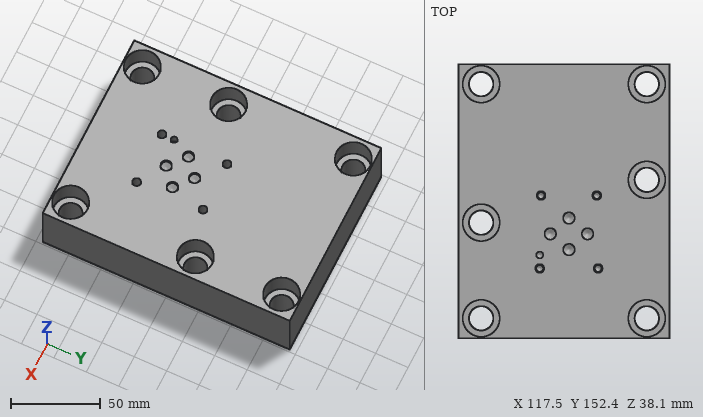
import cadquery as cq
import math

WIDTH = 117.5
LENGTH = 152.4
HEIGHT = 38.1

MOUNT_X = 46.0
MOUNT_END_Y = 65.0
MOUNT_MIDDLE_Y = 11.9
MOUNT_DIAMETER = 13.4
COUNTERBORE_DIAMETER = 20.5
COUNTERBORE_DEPTH = 15.2

PATTERN_X = 2.7
PATTERN_Y = -18.1
PORT_DIAMETER = 6.4
PORT_DEPTH = 1.8
PORT_SPAN_X = 20.7
PORT_SPAN_Y = 17.5
SCREW_FRONT_SPAN = 32.5
SCREW_BACK_SPAN = 31.0
SCREW_FRONT_Y = -37.3
SCREW_ROW_SPACING = 40.5
THREAD_DIAMETER = 4.9
TAP_DIAMETER = 3.8
THREAD_DEPTH = 12.2
TAP_DEPTH = 15.2
PIN_DIAMETER = 3.8
PIN_DEPTH = 6.1
PIN_OFFSET_Y = 7.5
DRILL_POINT_ANGLE = 118.0


def drill(diameter, depth):
    """Cutter reaching down from Z = 0 to a full-diameter depth, plus its conical point."""
    radius = diameter / 2
    point_length = radius / math.tan(math.radians(DRILL_POINT_ANGLE / 2))
    profile = (
        cq.Workplane("XZ")
        .polyline([(0, 0), (radius, 0), (radius, -depth), (0, -depth - point_length)])
        .close()
    )
    return profile.revolve(360, (0, 0), (0, 1))


def cut_from_top(body, cutter, points):
    """Cut one copy of the cutter into the top face at each point."""
    for x, y in points:
        body = body.cut(cutter.translate((x, y, HEIGHT)))
    return body


mount_points = [(x, y) for x in (-MOUNT_X, MOUNT_X) for y in (-MOUNT_END_Y, MOUNT_END_Y)]
mount_points += [(-MOUNT_X, -MOUNT_MIDDLE_Y), (MOUNT_X, MOUNT_MIDDLE_Y)]

plate = (
    cq.Workplane("XY")
    .box(WIDTH, LENGTH, HEIGHT, centered=(True, True, False))
    .faces(">Z")
    .workplane(origin=(0, 0, HEIGHT))
    .pushPoints(mount_points)
    .cboreHole(MOUNT_DIAMETER, COUNTERBORE_DIAMETER, COUNTERBORE_DEPTH)
)

port_points = [
    (PATTERN_X - PORT_SPAN_X / 2, PATTERN_Y),
    (PATTERN_X + PORT_SPAN_X / 2, PATTERN_Y),
    (PATTERN_X, PATTERN_Y - PORT_SPAN_Y / 2),
    (PATTERN_X, PATTERN_Y + PORT_SPAN_Y / 2),
]
plate = cut_from_top(plate, drill(PORT_DIAMETER, PORT_DEPTH), port_points)

screw_rows = [
    (SCREW_FRONT_SPAN, SCREW_FRONT_Y),
    (SCREW_BACK_SPAN, SCREW_FRONT_Y + SCREW_ROW_SPACING),
]
screw_points = [(PATTERN_X + side * span / 2, y) for span, y in screw_rows for side in (-1, 1)]
thread_bore = cq.Workplane("XY").circle(THREAD_DIAMETER / 2).extrude(-THREAD_DEPTH)
tapped_hole = thread_bore.union(drill(TAP_DIAMETER, TAP_DEPTH))
plate = cut_from_top(plate, tapped_hole, screw_points)

pin_point = (PATTERN_X - SCREW_FRONT_SPAN / 2, SCREW_FRONT_Y + PIN_OFFSET_Y)
plate = cut_from_top(plate, drill(PIN_DIAMETER, PIN_DEPTH), [pin_point])

result = plate